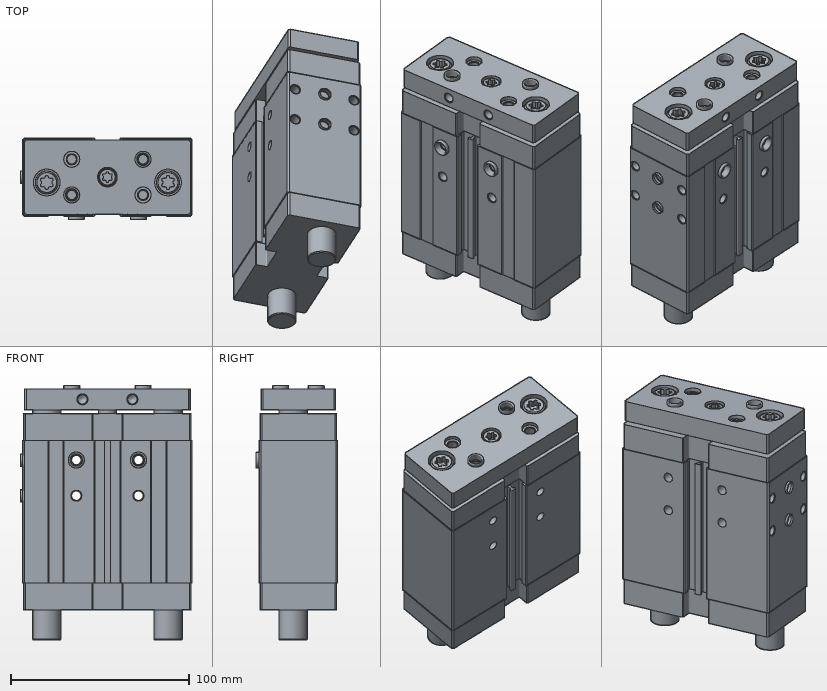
import cadquery as cq
import math

rod_overhang = 17.0
cap_height = 15.0
body_height = 80.0
plate_bottom = 129.1
plate_top = 141.0
cap_bottom = rod_overhang
body_bottom = cap_bottom + cap_height
body_top = body_bottom + body_height

body_size = (95.0, 44.0)
cap_size = (94.0, 43.0)
plate_size = (93.0, 41.8)
corner_chamfer = 1.0

slot_floor = 14.7
cap_slot_half = 8.1
cap_slot_fillet = 0.5
slot_mouth_half = 7.0
slot_mouth_fillet = 0.5
slot_inner_half = 8.0
slot_lip = 3.9
rib_half = 1.7
rib_stem_half = 0.7
rib_sink = 2.7
rib_fillet = 0.3
rib_head = 1.4

flute_x = 28.8
flute_width = 9.1
flute_depth = 0.5

rod_x = 34.0
rod_y = -3.0
rod_diameter = 16.0
rod_chamfer = 0.5
piston_diameter = 10.0

rod_head = dict(bore=15.0, head=12.9, bevel=0.9, star=7.9)
piston_head = dict(bore=11.0, head=10.0, bevel=0.5, star=6.0)
head_sink = 0.9
head_bore_depth = 5.7
star_depth = 4.0
star_core_share = 0.74
star_lobe_share = 0.24
star_lobes = 6

sleeve_outer = 9.0
sleeve_inner = 6.9
sleeve_length = 4.0
sleeve_rounding = 0.5
sleeve_stand_out = 1.9
sleeve_seat = sleeve_length - sleeve_stand_out
port_outer = 7.0
port_inner = 6.0
port_length = 3.0
port_rounding = 0.21
port_stand_out = 1.3
port_seat = port_length - port_stand_out

thread_diameter = 5.3
thread_chamfer = 0.4
blind_depth = 10.0
drill_angle = 118.0
plate_hole_x = 20.0
plate_hole_y = 10.0
plate_side_hole_x = 14.0
body_hole_x = 17.4
side_hole_y = 17.4
upper_hole_z = 101.0
lower_hole_z = 81.0

UP = cq.Vector(0, 0, 1)
TO_BACK = cq.Vector(0, 1, 0)
TO_RIGHT = cq.Vector(1, 0, 0)
front_y = -body_size[1] / 2
left_x = -body_size[0] / 2
plate_front_y = -plate_size[1] / 2
hole_heights = (upper_hole_z, lower_hole_z)


def cylinder(diameter, length, start, direction):
    return cq.Workplane(cq.Solid.makeCylinder(diameter / 2, length, cq.Vector(*start), direction))


def chamfered_block(size, bottom, height):
    block = cq.Workplane("XY", origin=(0, 0, bottom)).rect(*size).extrude(height)
    return block.edges("|Z").chamfer(corner_chamfer)


def entry_chamfer(start, direction):
    mouth_radius = thread_diameter / 2 + thread_chamfer
    cone = cq.Solid.makeCone(mouth_radius, thread_diameter / 2, thread_chamfer, cq.Vector(*start), direction)
    return cq.Workplane(cone)


def through_hole(length, start, direction):
    return cylinder(thread_diameter, length, start, direction).union(entry_chamfer(start, direction))


def blind_hole(start, direction):
    """Chamfered drilled hole with a conical bottom."""
    tip_height = thread_diameter / 2 / math.tan(math.radians(drill_angle / 2))
    tip_base = cq.Vector(*start) + direction * blind_depth
    tip = cq.Solid.makeCone(thread_diameter / 2, 0, tip_height, tip_base, direction)
    return through_hole(blind_depth, start, direction).union(cq.Workplane(tip))


def sleeve(outer, inner, length, rounding, start, direction):
    """Ring that runs from its seat at `start` to a rounded end along `direction`."""
    plane = cq.Plane(origin=start, normal=direction)
    ring = cq.Workplane(plane).circle(outer / 2).circle(inner / 2).extrude(length)
    return ring.faces(cq.selectors.DirectionMinMaxSelector(direction)).edges().fillet(rounding)


def large_sleeve(start, direction):
    return sleeve(sleeve_outer, sleeve_inner, sleeve_length, sleeve_rounding, start, direction)


def slot_box(half_width, near, far, bottom, height):
    """Upright box, centred on X, that spans Y from `near` to `far`."""
    return (
        cq.Workplane("XY", origin=(0, (near + far) / 2, bottom))
        .rect(2 * half_width, abs(far - near))
        .extrude(height)
    )


def mouth_flare(half_width, radius, mouth_y, bottom, height):
    """Widening that rounds both edges of a front slot where it meets the face at `mouth_y`."""
    return (
        cq.Workplane("XY", origin=(0, mouth_y, bottom))
        .moveTo(-half_width - radius, 0)
        .radiusArc((-half_width, radius), radius)
        .lineTo(half_width, radius)
        .radiusArc((half_width + radius, 0), radius)
        .close()
        .extrude(height)
    )


def rod_spots():
    return [(side * rod_x, rod_y) for side in (-1, 1)]


def make_cap_slot(bottom):
    """Front slot with rounded floor corners and mouth edges."""
    mouth_y = -cap_size[1] / 2
    slot = slot_box(cap_slot_half, mouth_y, -slot_floor, bottom, cap_height)
    slot = slot.edges("|Z and >Y").fillet(cap_slot_fillet)
    return slot.union(mouth_flare(cap_slot_half, cap_slot_fillet, mouth_y, bottom, cap_height))


def make_cap(bottom):
    cap = chamfered_block(cap_size, bottom, cap_height)
    front_slot = make_cap_slot(bottom)
    cap = cap.cut(front_slot).cut(front_slot.mirror("XZ"))
    for x, y in rod_spots():
        cap = cap.cut(cylinder(rod_diameter, cap_height, (x, y, bottom), UP))
    return cap


def make_upper_cap():
    return make_cap(body_top).cut(cylinder(piston_diameter, cap_height, (0, 0, body_top), UP))


def body_slot_box(half_width, near, far):
    return slot_box(half_width, near, far, body_bottom, body_height)


def make_body_slot():
    """Wide undercut slot on the front, divided by a T-shaped rib."""
    lip_y = front_y + slot_lip
    rib_y = front_y + rib_sink
    slot = body_slot_box(slot_mouth_half, front_y, lip_y)
    slot = slot.union(mouth_flare(slot_mouth_half, slot_mouth_fillet, front_y, body_bottom, body_height))
    slot = slot.union(body_slot_box(slot_inner_half, lip_y, -slot_floor))
    head = body_slot_box(rib_half, rib_y, rib_y + rib_head).edges("|Z and <Y").fillet(rib_fillet)
    stem = body_slot_box(rib_stem_half, rib_y + rib_head, -slot_floor)
    return slot.cut(head).cut(stem)


def make_flute(x):
    outer = flute_width / 2
    inner = outer - flute_depth
    return (
        cq.Workplane("XY", origin=(x, front_y, body_bottom))
        .polyline([(-outer, 0), (outer, 0), (inner, flute_depth), (-inner, flute_depth)])
        .close()
        .extrude(body_height)
    )


def make_body():
    body = chamfered_block(body_size, body_bottom, body_height)
    front_slot = make_body_slot()
    body = body.cut(front_slot).cut(front_slot.mirror("XZ"))
    for x, y in rod_spots():
        body = body.cut(cylinder(rod_diameter, body_height, (x, y, body_bottom), UP))
    for side in (-1, 1):
        body = body.cut(make_flute(side * flute_x))
        for z in hole_heights:
            body = body.cut(through_hole(body_size[1], (side * body_hole_x, front_y, z), TO_BACK))
            body = body.cut(blind_hole((left_x, side * side_hole_y, z), TO_RIGHT))
        seat_start = (side * body_hole_x, front_y, upper_hole_z)
        body = body.cut(cylinder(sleeve_outer, sleeve_seat, seat_start, TO_BACK))
    for z in hole_heights:
        body = body.cut(cylinder(port_outer, port_seat, (left_x, 0, z), TO_RIGHT))
    return body


def star_socket(x, y, floor, star):
    """Six round lobes around a round core, `star` across opposite lobes."""
    core_diameter = star_core_share * star
    lobe_diameter = star_lobe_share * star
    lobe_ring = (star - lobe_diameter) / 2
    socket = cylinder(core_diameter, star_depth, (x, y, floor), UP)
    for lobe in range(star_lobes):
        angle = 2 * math.pi * (lobe + 0.5) / star_lobes
        lobe_spot = (x + lobe_ring * math.cos(angle), y + lobe_ring * math.sin(angle), floor)
        socket = socket.union(cylinder(lobe_diameter, star_depth, lobe_spot, UP))
    return socket.clean()


def add_screw_head(plate, x, y, bore, head, bevel, star):
    """Counterbore with a bevelled screw head that has a six-lobed socket."""
    head_top = plate_top - head_sink
    bore_floor = plate_top - head_bore_depth
    plate = plate.cut(cylinder(bore, head_bore_depth, (x, y, bore_floor), UP))
    screw = cylinder(head, head_top - bore_floor, (x, y, bore_floor), UP).faces(">Z").chamfer(bevel)
    screw = screw.cut(star_socket(x, y, head_top - star_depth, star))
    return plate.union(screw)


def make_moving_unit():
    unit = chamfered_block(plate_size, plate_bottom, plate_top - plate_bottom)
    for x, y in rod_spots():
        unit = add_screw_head(unit, x, y, **rod_head)
        rod = cylinder(rod_diameter, plate_bottom, (x, y, 0), UP)
        unit = unit.union(rod.faces("<Z").chamfer(rod_chamfer))
    unit = add_screw_head(unit, 0, 0, **piston_head)
    unit = unit.union(cylinder(piston_diameter, plate_bottom - body_top, (0, 0, body_top), UP))
    seat_floor = plate_top - sleeve_seat
    for side_x in (-1, 1):
        for side_y in (-1, 1):
            x = side_x * plate_hole_x
            y = side_y * plate_hole_y
            unit = unit.cut(cylinder(sleeve_outer, sleeve_seat, (x, y, seat_floor), UP))
            unit = unit.cut(through_hole(seat_floor - plate_bottom, (x, y, seat_floor), -UP))
        side_hole_start = (side_x * plate_side_hole_x, plate_front_y, (plate_bottom + plate_top) / 2)
        unit = unit.cut(blind_hole(side_hole_start, TO_BACK))
    return unit


def make_plate_sleeve(side):
    """Sleeves stand in two diagonally opposite plate holes."""
    start = (side * plate_hole_x, side * plate_hole_y, plate_top - sleeve_seat)
    return large_sleeve(start, UP)


def make_front_sleeve(side):
    start = (side * body_hole_x, front_y + sleeve_seat, upper_hole_z)
    return large_sleeve(start, -TO_BACK)


def make_port_sleeve(z):
    return sleeve(port_outer, port_inner, port_length, port_rounding, (left_x + port_seat, 0, z), -TO_RIGHT)


body = make_body()
lower_cap = make_cap(cap_bottom)
upper_cap = make_upper_cap()
moving_unit = make_moving_unit()
plate_sleeves = [make_plate_sleeve(side) for side in (-1, 1)]
front_sleeves = [make_front_sleeve(side) for side in (-1, 1)]
port_sleeves = [make_port_sleeve(z) for z in hole_heights]

bodies = [body, lower_cap, upper_cap, moving_unit, *plate_sleeves, *front_sleeves, *port_sleeves]
result = cq.Compound.makeCompound([part.solids().val() for part in bodies])